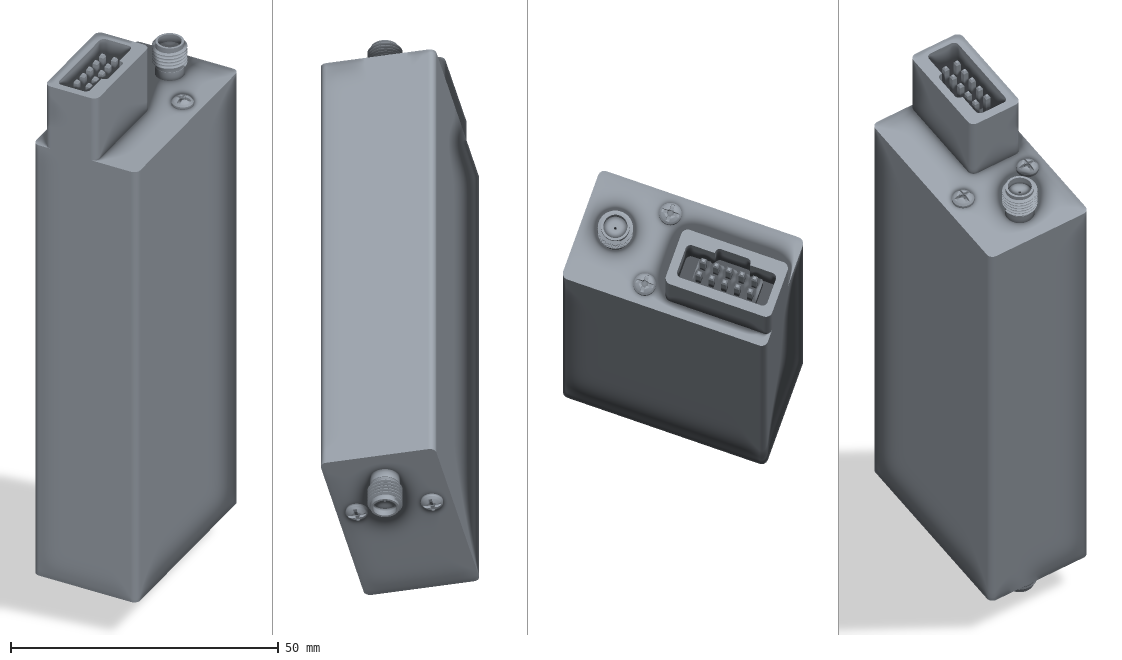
import cadquery as cq

housing_width = 22.1
housing_length = 40.64
housing_height = 95.6
overall_height = 116.51
upright_radius = 1.27
front_y = -housing_length / 2

shroud_width = 11.1
shroud_length = 21.1
shroud_height = 13.8
shroud_x = -3.05
shroud_y = front_y + shroud_length / 2
shroud_top = housing_height + shroud_height

socket_width = 6.6
socket_length = 17.9
socket_depth = 9.0
socket_radius = 1.0
socket_x = -3.45
socket_y = -9.87
socket_floor = shroud_top - socket_depth
key_length = 7.0
key_depth = 1.1
key_radius = 0.9

pin_pitch = 2.54
pin_rows = 5
pin_columns = 2
header_height = 2.5
header_width = 5.6
header_x = -3.3
cell_corner = 0.35
pin_side = 1.0
pin_tip_side = 0.5
pin_tip_height = 0.5
pin_height = 8.2

connector_x = 0
connector_y = 13.43
connector_height = overall_height - housing_height - shroud_height
barrel_diameter = 5.6
barrel_height = 1.8
nose_diameter = 5.4
bore_diameter = 4.5
bore_depth = 1.6
contact_diameter = 0.5
contact_depth = 2.0
thread_diameter = 6.6
thread_pitch = 25.4 / 36
thread_turns = 5.6
thread_start = 2.4
thread_root = 0.56
thread_crest = 0.1
thread_embed = 0.05

screw_x = 7.2
screw_y = 5.05
screw_diameter = 4.2
screw_rim_height = 0.55
screw_height = 1.4
screw_top_diameter = 2.2
dome_bulge = 0.58
recess_length = 3.4
recess_width = 0.7
recess_depth = 0.6
pit_diameter = 1.3
pit_depth = 0.9


def upright_box(width, length, height, x, y, z, radius):
    """Box standing on height z with its four upright edges rounded."""
    box = cq.Workplane("XY").box(width, length, height, centered=(True, True, False))
    return box.edges("|Z").fillet(radius).translate((x, y, z))


def make_shroud():
    shroud = upright_box(
        shroud_width, shroud_length, shroud_height, shroud_x, shroud_y, housing_height, upright_radius
    )
    socket = upright_box(
        socket_width, socket_length, socket_depth, socket_x, socket_y, socket_floor, socket_radius
    )
    keyway = upright_box(
        socket_width, key_length, socket_depth, socket_x + key_depth, socket_y, socket_floor, key_radius
    )
    return shroud.cut(socket).cut(keyway)


def make_header():
    cell = cq.Workplane("XY").box(header_width, pin_pitch, header_height, centered=(True, True, False))
    cell = cell.edges("|Z").chamfer(cell_corner)
    shank_height = pin_height - pin_tip_height
    pin = cq.Workplane("XY").box(pin_side, pin_side, shank_height, centered=(True, True, False))
    tip = (
        cq.Workplane("XY", origin=(0, 0, shank_height))
        .rect(pin_side, pin_side)
        .workplane(offset=pin_tip_height)
        .rect(pin_tip_side, pin_tip_side)
        .loft(ruled=True)
    )
    pin = pin.union(tip)
    header = cq.Workplane("XY")
    for row in range(pin_rows):
        y = socket_y + (row - (pin_rows - 1) / 2) * pin_pitch
        header = header.union(cell.translate((header_x, y, socket_floor)))
        for column in range(pin_columns):
            x = header_x + (column - (pin_columns - 1) / 2) * pin_pitch
            header = header.union(pin.translate((x, y, socket_floor)))
    return header


def make_housing():
    box = upright_box(housing_width, housing_length, housing_height, 0, 0, 0, upright_radius)
    return box.union(make_shroud()).union(make_header())


def make_thread():
    """Helical ridge whose root is sunk slightly into the connector nose."""
    root_radius = nose_diameter / 2 - thread_embed
    crest_radius = thread_diameter / 2
    helix = cq.Wire.makeHelix(thread_pitch, thread_turns * thread_pitch, root_radius)
    ridge = (
        cq.Workplane("XZ")
        .polyline([
            (root_radius, -thread_root / 2),
            (crest_radius, -thread_crest / 2),
            (crest_radius, thread_crest / 2),
            (root_radius, thread_root / 2),
        ])
        .close()
        .sweep(cq.Workplane(helix), isFrenet=True)
    )
    return ridge.translate((0, 0, thread_start))


def make_connector():
    """Connector standing on the plane z = 0 and pointing up."""
    barrel = cq.Workplane("XY").circle(barrel_diameter / 2).extrude(barrel_height)
    nose = cq.Workplane("XY").circle(nose_diameter / 2).extrude(connector_height)
    bore_floor = connector_height - bore_depth
    bore = cq.Workplane("XY", origin=(0, 0, bore_floor)).circle(bore_diameter / 2).extrude(bore_depth)
    contact = (
        cq.Workplane("XY", origin=(0, 0, bore_floor - contact_depth))
        .circle(contact_diameter / 2)
        .extrude(contact_depth)
    )
    return nose.union(make_thread()).union(barrel).cut(bore).cut(contact)


def make_screw():
    """Screw head standing on the plane z = 0 and facing up."""
    rim_radius = screw_diameter / 2
    top_radius = screw_top_diameter / 2
    dome_rise = screw_height - screw_rim_height
    dome_run = rim_radius - top_radius
    dome_mid = (top_radius + dome_bulge * dome_run, screw_rim_height + dome_bulge * dome_rise)
    head = (
        cq.Workplane("XZ")
        .lineTo(rim_radius, 0)
        .lineTo(rim_radius, screw_rim_height)
        .threePointArc(dome_mid, (top_radius, screw_height))
        .lineTo(0, screw_height)
        .close()
        .revolve(360, (0, 0, 0), (0, 1, 0))
    )
    recess_floor = cq.Workplane("XY", origin=(0, 0, screw_height - recess_depth))
    pit_floor = cq.Workplane("XY", origin=(0, 0, screw_height - pit_depth))
    pit = pit_floor.circle(pit_diameter / 2).extrude(pit_depth)
    arm_x = recess_floor.rect(recess_length, recess_width).extrude(recess_depth)
    arm_y = recess_floor.rect(recess_width, recess_length).extrude(recess_depth)
    return head.cut(arm_x).cut(arm_y).cut(pit)


def on_both_ends(body, x, y):
    """One copy of a body on the housing top and one, turned over, on its underside."""
    top_copy = body.translate((x, y, housing_height))
    bottom_copy = body.rotate((0, 0, 0), (1, 0, 0), 180).translate((x, y, 0))
    return [top_copy.val(), bottom_copy.val()]


housing = make_housing()
connectors = on_both_ends(make_connector(), connector_x, connector_y)
screws = []
for side in (-1, 1):
    screws += on_both_ends(make_screw(), side * screw_x, screw_y)

result = cq.Compound.makeCompound([housing.val(), *connectors, *screws])